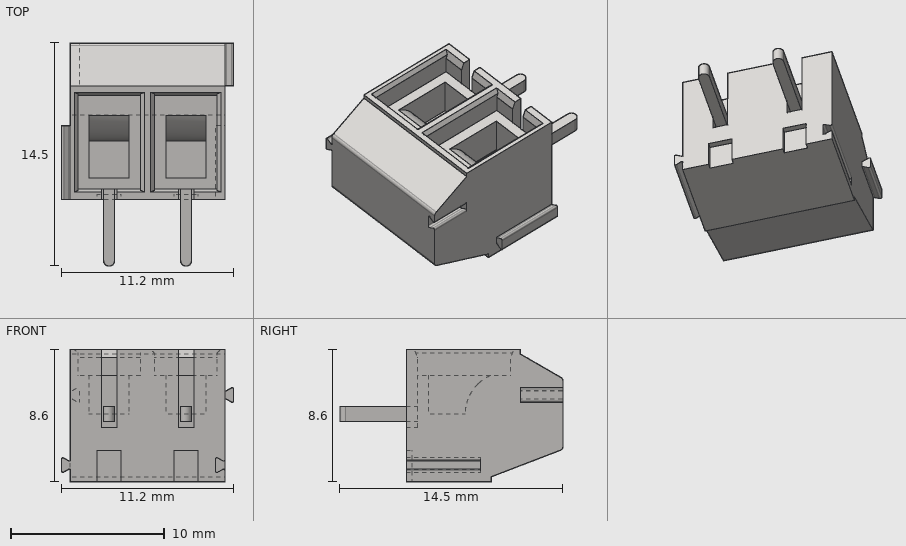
import cadquery as cq
import math


body_width = 10.06
body_depth = 10.18
body_height = 8.6
module_width = 10.0
pole_pitch = module_width / 2
pole_centers = [body_width / 2 - pole_pitch / 2, body_width / 2 + pole_pitch / 2]

top_step_y = 7.4
top_step_height = 0.29
top_slope_angle = 30
base_step_y = 5.51
base_step_height = 0.32
base_slope_angle = 21
back_edge_radius = 0.29

wall = 0.28
middle_wall = 0.4
pocket_front_y = 0.51
pocket_back_y = 6.97
pocket_depth = 1.68
side_taper = 0.25
side_taper_depth = 0.25
end_taper = 0.2
end_taper_depth = 0.51
pocket_width = (body_width - 2 * wall - middle_wall) / 2
pocket_pitch = pocket_width + middle_wall
pocket_floor_z = body_height - pocket_depth

window_width = 2.61
window_front_y = 1.42
window_back_y = 5.47
saddle_radius = 2.75
saddle_reach = 1.65
saddle_axis_y = window_back_y - saddle_reach + saddle_radius
saddle_drop = math.sqrt(saddle_radius ** 2 - (saddle_radius - saddle_reach) ** 2)
window_floor_z = pocket_floor_z - saddle_drop

slot_width = 1.0
slot_bottom_z = 3.52
slot_depth = pocket_front_y + end_taper
pin_width = 0.72
pin_height = 1.0
pin_center_z = 4.41
pin_length = 4.32
notch_width = 1.57
notch_height = 2.03
notch_depth = 0.35

dovetail_projection = 0.57
dovetail_length = dovetail_projection + body_width - module_width
dovetail_half_height = 0.48
dovetail_radius = 0.1
flank_angle = 30
lower_dovetail_z = 1.09
lower_dovetail_end_y = 4.81
upper_dovetail_z = 5.64


def box(x_center, width, y_min, y_max, z_min, z_max):
    """Box centred on x_center and given by its limits in Y and Z."""
    solid = cq.Workplane("XY").box(width, y_max - y_min, z_max - z_min, centered=(True, False, False))
    return solid.translate((x_center, y_min, z_min))


def make_housing():
    """Side outline with a sloped roof and a sloped underside at the back."""
    top_fall = (body_depth - top_step_y) * math.tan(math.radians(top_slope_angle))
    base_rise = (body_depth - base_step_y) * math.tan(math.radians(base_slope_angle))
    top_step_z = body_height - top_step_height
    outline = [
        (0, 0),
        (base_step_y, 0),
        (base_step_y, base_step_height),
        (body_depth, base_step_height + base_rise),
        (body_depth, top_step_z - top_fall),
        (top_step_y, top_step_z),
        (top_step_y, body_height),
        (0, body_height),
    ]
    housing = cq.Workplane("YZ").polyline(outline).close().extrude(body_width)
    return housing.faces(">Y").edges("|X").fillet(back_edge_radius)


def tapered_prism(plane, origin, width, taper, depth, length):
    """Prism of a straight-walled profile that flares to its full width at the rim."""
    rim = width / 2
    inner = rim - taper
    profile = [
        (-inner, -pocket_depth),
        (inner, -pocket_depth),
        (inner, -depth),
        (rim, 0),
        (-rim, 0),
        (-inner, -depth),
    ]
    return cq.Workplane(plane, origin=origin).polyline(profile).close().extrude(length / 2, both=True)


def make_pocket(x_center):
    """Open pocket with flared side and end walls, straight below the flares."""
    pocket_length = pocket_back_y - pocket_front_y
    rim_center = (x_center, (pocket_front_y + pocket_back_y) / 2, body_height)
    across = tapered_prism("XZ", rim_center, pocket_width, side_taper, side_taper_depth, pocket_length)
    along = tapered_prism("YZ", rim_center, pocket_length, end_taper, end_taper_depth, pocket_width)
    return across.intersect(along)


def make_window(x_center):
    """Opening in the pocket floor, with the round saddle left standing at the back."""
    opening = box(
        x_center, window_width, window_front_y, window_back_y, window_floor_z, pocket_floor_z
    )
    saddle = (
        cq.Workplane("YZ", origin=(x_center, saddle_axis_y, window_floor_z))
        .circle(saddle_radius)
        .extrude(window_width / 2, both=True)
    )
    return opening.cut(saddle)


def make_pin(x_center):
    """Flat pin with a full round tip, seated against the back of its slot."""
    bottom_z = pin_center_z - pin_height / 2
    tip_center_y = pin_width / 2 - pin_length
    shank = box(x_center, pin_width, tip_center_y, slot_depth, bottom_z, bottom_z + pin_height)
    tip = (
        cq.Workplane("XY", origin=(x_center, tip_center_y, bottom_z))
        .circle(pin_width / 2)
        .extrude(pin_height)
    )
    return shank.union(tip)


def make_dovetail(root_x, direction, z_center, y_min, y_max):
    """Dovetail bar from its root to its wide end, with rounded root and end corners."""
    r = dovetail_radius
    flank = math.radians(flank_angle)
    tip_x = dovetail_length - r
    tip_z = dovetail_half_height - r
    root_z = tip_z - (tip_x - r) * math.tan(flank) + 2 * r / math.cos(flank)

    def round_point(center_x, center_z, angle):
        return (center_x + r * math.cos(angle), center_z + r * math.sin(angle))

    flank_normal = math.pi / 2 + flank
    root_touch = flank_normal - math.pi
    root_arc = [
        (0, root_z),
        round_point(r, root_z, (root_touch - math.pi) / 2),
        round_point(r, root_z, root_touch),
    ]
    tip_arc = [
        round_point(tip_x, tip_z, flank_normal),
        round_point(tip_x, tip_z, flank_normal / 2),
        (dovetail_length, tip_z),
    ]

    def place(point, side):
        return (root_x + direction * point[0], z_center + side * point[1])

    profile = (
        cq.Workplane("XZ", origin=(0, y_max, 0))
        .moveTo(*place(root_arc[0], 1))
        .threePointArc(place(root_arc[1], 1), place(root_arc[2], 1))
        .lineTo(*place(tip_arc[0], 1))
        .threePointArc(place(tip_arc[1], 1), place(tip_arc[2], 1))
        .lineTo(*place(tip_arc[2], -1))
        .threePointArc(place(tip_arc[1], -1), place(tip_arc[0], -1))
        .lineTo(*place(root_arc[2], -1))
        .threePointArc(place(root_arc[1], -1), place(root_arc[0], -1))
        .close()
    )
    return profile.extrude(y_max - y_min)


result = make_housing()

for side in (-1, 1):
    result = result.cut(make_pocket(body_width / 2 + side * pocket_pitch / 2))

for pole_x in pole_centers:
    result = result.cut(make_window(pole_x))
    result = result.cut(box(pole_x, slot_width, 0, slot_depth, slot_bottom_z, body_height))
    result = result.cut(box(pole_x, notch_width, 0, notch_depth, 0, notch_height))
    result = result.union(make_pin(pole_x))

lower_rib_root = body_width - module_width
lower_rib = make_dovetail(lower_rib_root, -1, lower_dovetail_z, 0, lower_dovetail_end_y)
upper_rib = make_dovetail(module_width, 1, upper_dovetail_z, top_step_y, body_depth)
result = result.cut(lower_rib.translate((module_width, 0, 0)))
result = result.cut(upper_rib.translate((-module_width, 0, 0)))
result = result.union(lower_rib).union(upper_rib)